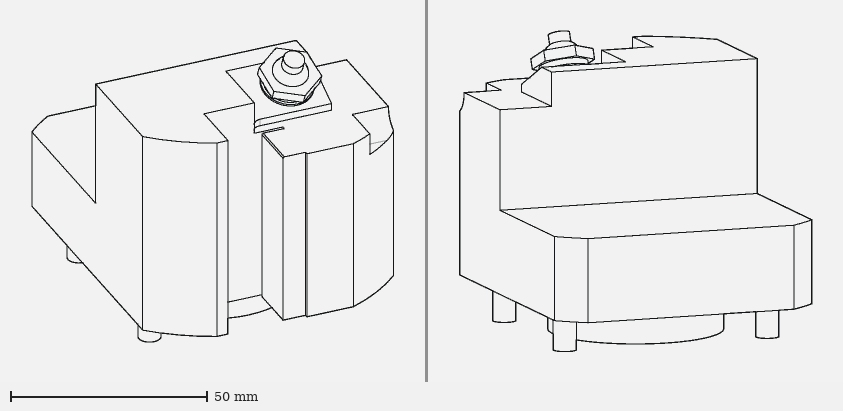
import cadquery as cq
import math


body_radius = 49.5
body_left = -40.8
body_right = 45.7
body_width = 70.0
base_height = 21.8
tower_left = 5.3
tower_height = 56.75

spigot_diameter = 45.0
pin_diameter = 6.0
pin_spacing_x = 44.7
pin_spacing_y = 55.0
spigot_length = 10.1

ledge_depth = 8.9
ledge_height = tower_height - ledge_depth
ledge_front = -1.9
ledge_wall_x = 27.6
ledge_wall_y = 20.9
ledge_corner_radius = 2.9

slot_left = 30.5
slot_front = -15.9
slot_back = 6.05
tongue_left = 31.4
tongue_right = 44.8
tongue_front = -0.2
tongue_chamfer = 0.35

relief_left = 31.75
relief_floor_left = 37.8
relief_front = 24.9
relief_depth = 6.05

seat_left = 12.6
tilt = 25.0
nozzle_y = 12.0
nozzle_offset = 7.8
washer_diameter = 14.0
washer_height = 0.6
washer_embed = 0.4
collar_diameter = 12.6
collar_height = 1.7
hex_across_flats = 14.0
hex_height = 2.85
hex_turn = 6.0
dome_diameter = 9.4
dome_height = 2.6
dome_bulge = 0.4
stem_diameter = 5.5
stem_height = 2.7


def box(x0, x1, y0, y1, z0, z1):
    """Box between two opposite corners."""
    return cq.Workplane("XY").box(x1 - x0, y1 - y0, z1 - z0, centered=False).translate((x0, y0, z0))


def make_body():
    half_width = body_width / 2
    bar = cq.Workplane("XY").circle(body_radius).extrude(tower_height)
    base = box(body_left, body_right, -half_width, half_width, 0, base_height)
    tower = box(tower_left, body_right, -half_width, half_width, 0, tower_height)
    return bar.intersect(base.union(tower))


def make_spigot_and_pins():
    spigot = cq.Workplane("XY").circle(spigot_diameter / 2).extrude(-spigot_length)
    pins = (
        cq.Workplane("XY")
        .rarray(pin_spacing_x, pin_spacing_y, 2, 2)
        .circle(pin_diameter / 2)
        .extrude(-spigot_length)
    )
    return spigot.union(pins)


def make_ledge_cut():
    back = box(tower_left, body_right, ledge_wall_y, body_width / 2, ledge_height, tower_height)
    side = box(ledge_wall_x, body_right, ledge_front, body_width / 2, ledge_height, tower_height)
    side = side.edges("|Z and <X and <Y").fillet(ledge_corner_radius)
    return back.union(side)


def make_slot_cut():
    slot = box(slot_left, body_right, slot_front, slot_back, 0, tower_height)
    tongue = box(tongue_left, tongue_right, tongue_front, slot_back, 0, ledge_height)
    return slot.cut(tongue.faces(">Z").edges("<Y").chamfer(tongue_chamfer))


def make_relief_cut():
    """Step whose floor blends into its left wall along a concave arc."""
    radius = relief_floor_left - relief_left
    floor = ledge_height - relief_depth
    center_z = floor + radius
    mid = radius * math.sqrt(0.5)
    return (
        cq.Workplane("XZ", origin=(0, body_width / 2, 0))
        .moveTo(relief_left, center_z)
        .threePointArc((relief_floor_left - mid, center_z - mid), (relief_floor_left, floor))
        .lineTo(body_right, floor)
        .lineTo(body_right, center_z)
        .close()
        .extrude(body_width / 2 - relief_front)
    )


def make_seat_cut():
    """Wedge above the slope that falls towards the slot."""
    drop = (slot_left - seat_left) * math.tan(math.radians(tilt))
    return (
        cq.Workplane("XZ", origin=(0, ledge_wall_y, 0))
        .moveTo(seat_left, tower_height)
        .lineTo(slot_left, tower_height - drop)
        .lineTo(slot_left, tower_height)
        .close()
        .extrude(ledge_wall_y - ledge_front)
    )


def place_on_seat(shape):
    """Tilt a shape built upright at the origin and move it onto the seat."""
    angle = math.radians(tilt)
    seat_point = (
        seat_left + nozzle_offset * math.cos(angle),
        nozzle_y,
        tower_height - nozzle_offset * math.sin(angle),
    )
    return shape.rotate((0, 0, 0), (0, 1, 0), tilt).translate(seat_point)


def make_nozzle():
    hex_bottom = washer_height + collar_height
    hex_top = hex_bottom + hex_height
    dome_top = hex_top + dome_height
    washer = (
        cq.Workplane("XY", origin=(0, 0, -washer_embed))
        .circle(washer_diameter / 2)
        .extrude(washer_embed + washer_height)
    )
    collar = (
        cq.Workplane("XY", origin=(0, 0, washer_height))
        .circle(collar_diameter / 2)
        .extrude(collar_height)
    )
    hexagon = (
        cq.Workplane("XY", origin=(0, 0, hex_bottom))
        .polygon(6, hex_across_flats / math.cos(math.pi / 6))
        .extrude(hex_height)
        .rotate((0, 0, 0), (0, 0, 1), hex_turn)
    )
    dome_radius = dome_diameter / 2
    stem_radius = stem_diameter / 2
    dome_and_stem = (
        cq.Workplane("XZ")
        .moveTo(0, hex_top)
        .lineTo(dome_radius, hex_top)
        .sagittaArc((stem_radius, dome_top), -dome_bulge)
        .lineTo(stem_radius, dome_top + stem_height)
        .lineTo(0, dome_top + stem_height)
        .close()
        .revolve(360, (0, 0, 0), (0, 1, 0))
    )
    return place_on_seat(washer.union(collar).union(hexagon).union(dome_and_stem))


result = make_body().union(make_spigot_and_pins())
for cut in (make_ledge_cut(), make_slot_cut(), make_relief_cut(), make_seat_cut()):
    result = result.cut(cut)
result = result.union(make_nozzle())